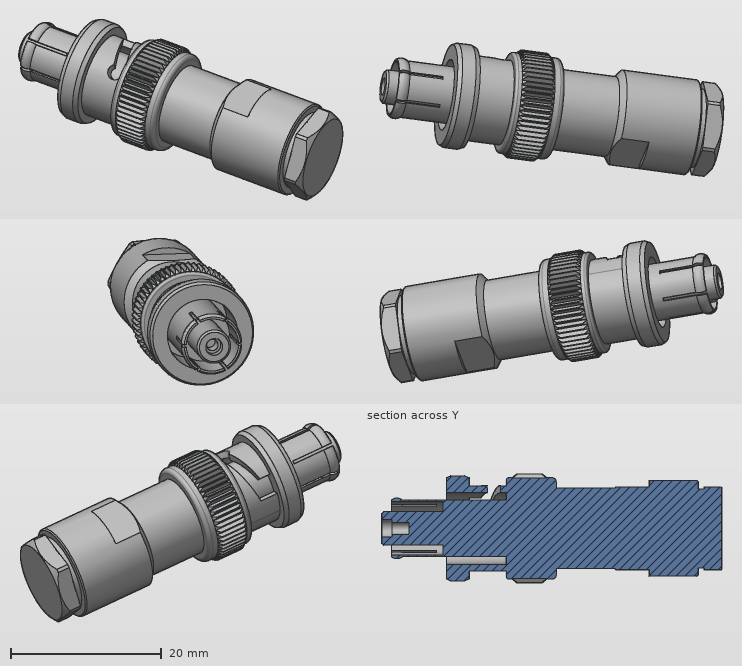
import cadquery as cq
import math

LENGTH = 45.2

nose_radius = 2.25
nose_chamfer = 0.25
well_radius = 1.15
well_depth = 1.35
socket_radius = 0.75
socket_depth = 3.6

tube_start = 1.3
tube_radius = 3.8
tube_bore_radius = 3.53
tube_bore_end = 8.15
bead_end = 2.75
bead_radius = 4.05
spring_slot_end = 7.3
spring_slot_width = 0.4
spring_slot_count = 6

flange_start = 8.6
flange_end = 11.65
flange_radius = 7.0
flange_bevel_front = 0.6
flange_bevel_rear = 0.65
flange_bevel_height = 0.25
barrel_radius = 5.7
sleeve_bore_radius = 4.75

entry_edge_high = 60.8
entry_edge_low = 32.3
ramp_start = 13.2
ramp_width = 1.7
ramp_rate = 37.16
lock_x = 15.4
lock_angle = -34.0
lock_radius = 1.1

grip_start = 16.55
grip_end = 23.25
rim_radius = 6.8
rim_front_fillet = 0.35
rim_rear_fillet = 0.6
knurl_start = 17.4
knurl_end = 21.9
knurl_chamfer = 0.55
tooth_count = 60
tooth_tip_width = 0.15
valley_radius = 6.7
grip_width = 14.45

rear_tube_radius = 5.4
body_start = 31.0
body_end = 42.1
body_radius = 6.37
body_front_length = 0.75
body_rear_chamfer = 0.2
flat_end = 35.55
across_flats = 11.05

neck_radius = 5.3
nut_start = 42.85
nut_corner_radius = 6.25
nut_bevel_length = 0.7
nut_end_radius = 5.43


def turned(points):
    """Solid of revolution about X from (x, radius) points, closed along the axis."""
    outline = [(points[0][0], 0), *points, (points[-1][0], 0)]
    return cq.Workplane("XY").polyline(outline).close().revolve(360, (0, 0, 0), (1, 0, 0))


def cylinder(start, end, radius):
    """Plain cylinder about X."""
    return turned([(start, radius), (end, radius)])


def polar(radius, degrees):
    """Point in the YZ plane, with the angle taken from +Z toward +Y."""
    angle = math.radians(degrees)
    return radius * math.sin(angle), radius * math.cos(angle)


def sector(start, low, high):
    """Four-sided sketch on a YZ plane that crosses the sleeve wall between two angles."""
    inner = sleeve_bore_radius / 2
    outer = 2 * barrel_radius
    corners = [polar(inner, low), polar(outer, low), polar(outer, high), polar(inner, high)]
    return cq.Workplane("YZ", origin=(start, 0, 0)).polyline(corners).close()


def make_nose():
    nose = cylinder(0, flange_start, nose_radius).faces("<X").chamfer(nose_chamfer)
    return nose.cut(cylinder(0, well_depth, well_radius)).cut(cylinder(0, socket_depth, socket_radius))


def make_spring_tube():
    bead_middle = (tube_start + bead_end) / 2
    tube = (
        cq.Workplane("XY")
        .moveTo(tube_start, 0)
        .lineTo(tube_start, tube_radius)
        .threePointArc((bead_middle, bead_radius), (bead_end, tube_radius))
        .lineTo(grip_start, tube_radius)
        .lineTo(grip_start, 0)
        .close()
        .revolve(360, (0, 0, 0), (1, 0, 0))
    )
    tube = tube.cut(cylinder(tube_start, tube_bore_end, tube_bore_radius))
    slot = cq.Workplane("XY").box(
        spring_slot_end, 3 * tube_radius, spring_slot_width, centered=(False, True, True)
    )
    for i in range(spring_slot_count // 2):
        tube = tube.cut(slot.rotate((0, 0, 0), (1, 0, 0), i * 360 / spring_slot_count))
    return tube


def bayonet_entry():
    """Straight stretch of the slot, from the flange to the ramp."""
    return sector(flange_end, entry_edge_low, entry_edge_high).extrude(ramp_start - flange_end)


def bayonet_ramp():
    """Helical stretch of the slot, trimmed to the angles it spans."""
    length = grip_start - ramp_start
    first_angle = entry_edge_low + ramp_width * ramp_rate
    helix = sector(ramp_start, entry_edge_low, first_angle).twistExtrude(length, length * ramp_rate)
    return helix.intersect(sector(ramp_start, lock_angle, entry_edge_high).extrude(length))


def bayonet_lock():
    """Round seat at the end of the slot, narrowing toward the axis like the other slot walls."""
    axis = cq.Vector(0, *polar(1, lock_angle))
    return cq.Workplane(cq.Solid.makeCone(
        0, 2 * lock_radius, 2 * barrel_radius, pnt=cq.Vector(lock_x, 0, 0), dir=axis
    ))


def make_sleeve():
    edge_radius = flange_radius - flange_bevel_height
    sleeve = turned([
        (flange_start, edge_radius),
        (flange_start + flange_bevel_front, flange_radius),
        (flange_end - flange_bevel_rear, flange_radius),
        (flange_end, edge_radius),
        (flange_end, barrel_radius),
        (grip_start, barrel_radius),
    ])
    sleeve = sleeve.cut(cylinder(flange_start, grip_start, sleeve_bore_radius))
    return sleeve.cut(bayonet_entry()).cut(bayonet_ramp()).cut(bayonet_lock())


def make_grip():
    front_rim = cylinder(grip_start, knurl_start, rim_radius).faces("<X").edges().fillet(rim_front_fillet)
    rear_rim = cylinder(knurl_end, grip_end, rim_radius).faces(">X").edges().fillet(rim_rear_fillet)

    pitch = 360 / tooth_count
    tip_half_angle = math.degrees(tooth_tip_width / grip_width)
    tip_radius = grip_width / 2 / math.cos(math.radians(pitch / 2 - tip_half_angle))
    star = []
    for i in range(tooth_count):
        tip_angle = (i + 0.5) * pitch
        star += [
            polar(valley_radius, i * pitch),
            polar(tip_radius, tip_angle - tip_half_angle),
            polar(tip_radius, tip_angle + tip_half_angle),
        ]
    teeth = (
        cq.Workplane("YZ", origin=(knurl_start, 0, 0))
        .polyline(star)
        .close()
        .extrude(knurl_end - knurl_start)
    )
    blank = turned([
        (knurl_start, rim_radius),
        (knurl_start + knurl_chamfer, tip_radius),
        (knurl_end - knurl_chamfer, tip_radius),
        (knurl_end, rim_radius),
    ])
    return teeth.intersect(blank).union(front_rim).union(rear_rim)


def make_clamp_body():
    body = turned([
        (body_start, rear_tube_radius),
        (body_start + body_front_length, body_radius),
        (body_end - body_rear_chamfer, body_radius),
        (body_end, body_radius - body_rear_chamfer),
    ])
    flat = cq.Workplane("XY").box(
        flat_end - body_start, 2 * body_radius, body_radius, centered=(False, True, False)
    )
    flat = flat.translate((body_start, 0, across_flats / 2))
    return body.cut(flat).cut(flat.mirror("XY"))


def make_nut():
    across_corners = across_flats / math.cos(math.radians(30))
    hexagon = (
        cq.Workplane("YZ", origin=(nut_start, 0, 0))
        .polygon(6, across_corners)
        .extrude(LENGTH - nut_start)
    )
    blank = turned([
        (nut_start, nut_corner_radius),
        (LENGTH - nut_bevel_length, nut_corner_radius),
        (LENGTH, nut_end_radius),
    ])
    return hexagon.intersect(blank)


result = (
    make_spring_tube()
    .union(make_nose())
    .union(make_sleeve())
    .union(make_grip())
    .union(cylinder(grip_end, body_start, rear_tube_radius))
    .union(make_clamp_body())
    .union(cylinder(body_end, nut_start, neck_radius))
    .union(make_nut())
)